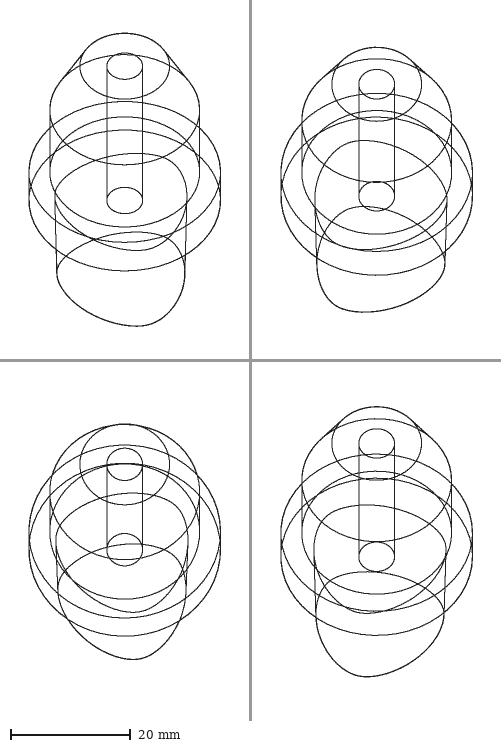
import cadquery as cq
import math

flange_bottom = 19.0
flange_top = 26.0
cone_start = 41.3
total_height = 52.0

flange_diameter = 32.0
body_diameter = 25.0
tip_diameter = 15.0
bore_diameter = 6.0
bore_depth = total_height - flange_bottom

lobes = 3
stem_mean_radius = 11.0
stem_eccentricity = 0.75
stem_draft_angle = 1.0
curve_points = 48


def lobed_wire(mean_radius, height):
    """Closed constant-width curve with one lobe pointing toward +X."""

    def point(turn):
        angle = math.pi + 2 * math.pi * turn / curve_points
        support = mean_radius + stem_eccentricity * math.cos(lobes * angle)
        slope = -lobes * stem_eccentricity * math.sin(lobes * angle)
        x = support * math.cos(angle) - slope * math.sin(angle)
        y = support * math.sin(angle) + slope * math.cos(angle)
        return cq.Vector(x, y, height)

    points = [point(turn) for turn in range(curve_points)]
    return cq.Wire.assembleEdges([cq.Edge.makeSpline(points, periodic=True)])


def make_stem():
    """Lobed stem that narrows evenly toward its bottom face."""
    shrink = flange_bottom * math.tan(math.radians(stem_draft_angle))
    bottom = lobed_wire(stem_mean_radius - shrink, 0)
    top = lobed_wire(stem_mean_radius, flange_bottom)
    return cq.Workplane(obj=cq.Solid.makeLoft([bottom, top], True))


def make_body():
    """Flange, cylinder and cone turned about the Z axis."""
    profile = [
        (0, flange_bottom),
        (flange_diameter / 2, flange_bottom),
        (flange_diameter / 2, flange_top),
        (body_diameter / 2, flange_top),
        (body_diameter / 2, cone_start),
        (tip_diameter / 2, total_height),
        (0, total_height),
    ]
    return cq.Workplane("XZ").polyline(profile).close().revolve(360, (0, 0), (0, 1))


def make_bore():
    """Blind, flat-bottomed bore from the tip down to the flange's underside."""
    floor = total_height - bore_depth
    return cq.Workplane("XY").workplane(offset=floor).circle(bore_diameter / 2).extrude(bore_depth)


result = make_body().union(make_stem()).cut(make_bore())